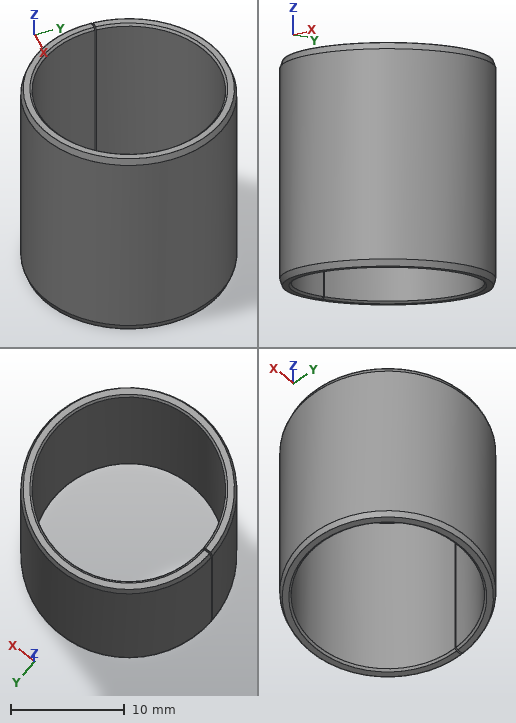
import cadquery as cq
import math

length = 20.0
outer_radius = 9.5
wall = 1.0
inner_radius = outer_radius - wall

outer_chamfer_height = 0.6
outer_chamfer_angle = 20.0
outer_chamfer_depth = outer_chamfer_height * math.tan(math.radians(outer_chamfer_angle))

inner_chamfer = 0.2

gap_angle = 1.0
full_turn = 360.0
joint_direction = 180.0

end_inner_radius = inner_radius + inner_chamfer
end_outer_radius = outer_radius - outer_chamfer_depth


def make_wall_section():
    """Chamfered cross-section of the wall, in the XZ plane on the +X side."""
    return (
        cq.Workplane("XZ")
        .moveTo(end_inner_radius, 0)
        .lineTo(end_outer_radius, 0)
        .lineTo(outer_radius, outer_chamfer_height)
        .lineTo(outer_radius, length - outer_chamfer_height)
        .lineTo(end_outer_radius, length)
        .lineTo(end_inner_radius, length)
        .lineTo(inner_radius, length - inner_chamfer)
        .lineTo(inner_radius, inner_chamfer)
        .close()
    )


split_sleeve = make_wall_section().revolve(full_turn - gap_angle, (0, 0, 0), (0, 1, 0))
result = split_sleeve.rotate((0, 0, 0), (0, 0, 1), joint_direction)